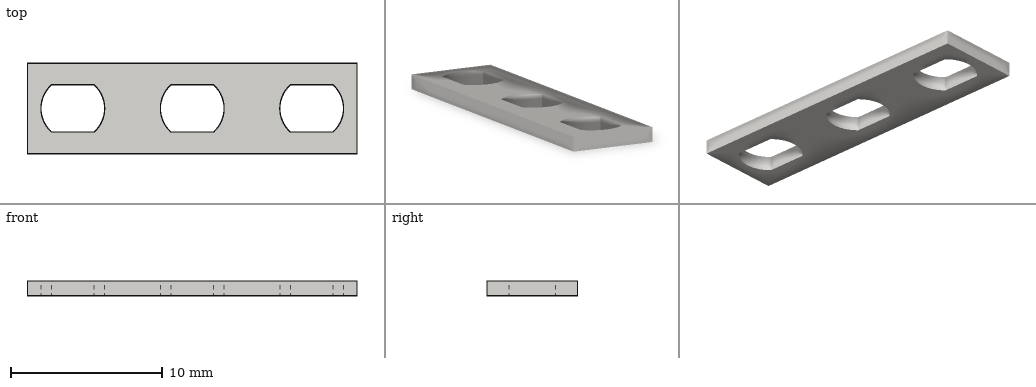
import cadquery as cq

plate_length = 21.8
plate_width = 6.0
plate_thickness = 1.0

hole_count = 3
hole_pitch = 7.9
hole_diameter = 4.2
hole_across_flats = 3.1


def make_plate():
    """Flat rectangular strip, centred in X and Y, resting on Z = 0."""
    return cq.Workplane("XY").box(
        plate_length, plate_width, plate_thickness, centered=(True, True, False)
    )


def make_double_d_cutter(center_x):
    """Round plug trimmed to the distance across the flats."""
    plug = cq.Workplane("XY").circle(hole_diameter / 2).extrude(plate_thickness)
    flats = cq.Workplane("XY").rect(hole_diameter, hole_across_flats).extrude(plate_thickness)
    return plug.intersect(flats).translate((center_x, 0, 0))


result = make_plate()
for index in range(hole_count):
    offset_from_middle = index - (hole_count - 1) / 2
    result = result.cut(make_double_d_cutter(offset_from_middle * hole_pitch))